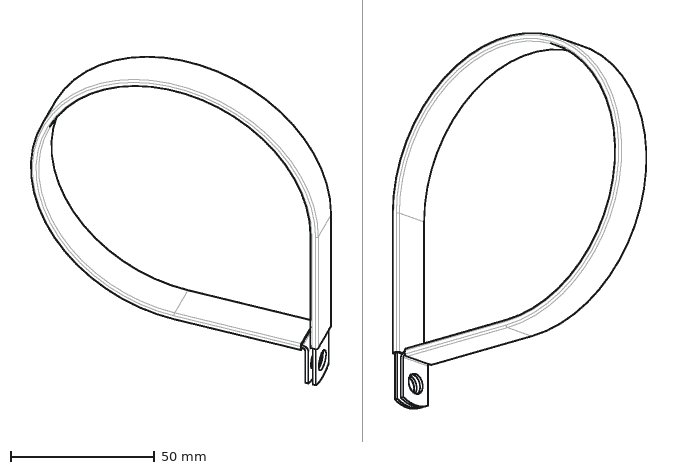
import cadquery as cq
import math

loop_diameter = 107.2
overall_height = 123.4

cushion_width = 14.3
cushion_thickness = 2.8
cushion_edge_size = 0.7

strip_width = cushion_width - 2 * cushion_edge_size
strip_thickness = 1.2

side_leg_end_z = -51.2
bottom_leg_end_x = 47.4

tab_gap = 1.6
bend_inner_radius = 0.9
hole_diameter = 7.3
hole_above_tab_end = 7.9
tab_end_radius = 14.8

outer_radius = loop_diameter / 2
mid_radius = outer_radius - cushion_thickness / 2
tab_end_z = outer_radius - overall_height
side_tab_x = mid_radius
bent_tab_x = side_tab_x - strip_thickness - tab_gap


def make_cushion():
    """Sweep the round-edged section down the side leg, round the loop and along the bottom."""
    arc_mid = mid_radius * math.sqrt(0.5)
    path = (
        cq.Workplane("XZ")
        .moveTo(mid_radius, side_leg_end_z)
        .lineTo(mid_radius, 0)
        .threePointArc((-arc_mid, arc_mid), (0, -mid_radius))
        .lineTo(bottom_leg_end_x, -mid_radius)
    )
    section = (
        cq.Workplane("XY", origin=(mid_radius, 0, side_leg_end_z))
        .sketch()
        .rect(cushion_thickness, cushion_width)
        .vertices()
        .fillet(cushion_edge_size)
        .finalize()
    )
    return section.sweep(path)


def make_side_strip():
    """Straight strip leaving the lower end of the side leg."""
    height = side_leg_end_z - tab_end_z
    center = (side_tab_x, 0, tab_end_z + height / 2)
    return cq.Workplane("XY").box(strip_thickness, strip_width, height).translate(center)


def make_bent_strip():
    """Strip leaving the end of the bottom leg and bending downward."""
    half = strip_thickness / 2
    top_z = -mid_radius + half
    right_x = bent_tab_x + half
    strip = (
        cq.Workplane("XZ")
        .moveTo(bottom_leg_end_x, top_z)
        .lineTo(right_x, top_z)
        .lineTo(right_x, tab_end_z)
        .lineTo(right_x - strip_thickness, tab_end_z)
        .lineTo(right_x - strip_thickness, top_z - strip_thickness)
        .lineTo(bottom_leg_end_x, top_z - strip_thickness)
        .close()
        .extrude(strip_width / 2, both=True)
    )
    inner_corner = cq.selectors.NearestToPointSelector(
        (right_x - strip_thickness, 0, top_z - strip_thickness)
    )
    outer_corner = cq.selectors.NearestToPointSelector((right_x, 0, top_z))
    strip = strip.edges("|Y").edges(inner_corner).fillet(bend_inner_radius)
    return strip.edges("|Y").edges(outer_corner).fillet(bend_inner_radius + strip_thickness)


def make_tab_outline():
    """Block along X that rounds the lower ends of both tabs."""
    half_width = strip_width / 2
    sag = tab_end_radius - math.sqrt(tab_end_radius**2 - half_width**2)
    return (
        cq.Workplane("YZ")
        .moveTo(-half_width, 0)
        .lineTo(-half_width, tab_end_z + sag)
        .threePointArc((0, tab_end_z), (half_width, tab_end_z + sag))
        .lineTo(half_width, 0)
        .close()
        .extrude(outer_radius)
    )


def make_tab_hole():
    """Bolt hole through both tabs."""
    return (
        cq.Workplane("YZ")
        .center(0, tab_end_z + hole_above_tab_end)
        .circle(hole_diameter / 2)
        .extrude(outer_radius)
    )


tabs = make_side_strip().union(make_bent_strip())
tabs = tabs.intersect(make_tab_outline()).cut(make_tab_hole())
result = make_cushion().union(tabs)